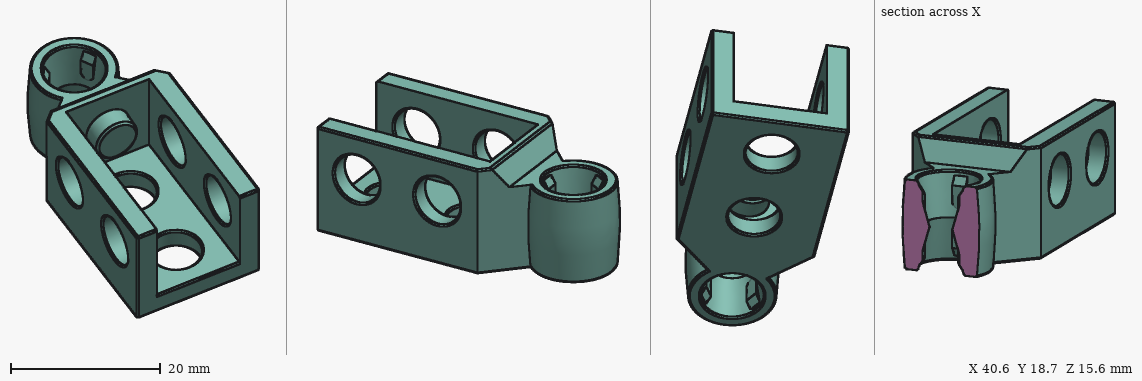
import cadquery as cq
import math

LENGTH = 40.6
MODULES_LONG = 13
MODULE = LENGTH / MODULES_LONG
WIDTH = 6 * MODULE
HEIGHT = 5 * MODULE
HALF_WIDTH = WIDTH / 2
EDGE_CHAMFER = 0.25

WALL = 3.05
FLOOR = 3.05
CAVITY_START = 15.48
CAVITY_WIDTH = WIDTH - 2 * WALL
SLOPE_START = 4 * MODULE
SLOPE_ANGLE = 60.0
HOLE_DIAMETER = 7.0
HOLE_HEIGHT = 3 * MODULE
HOLE_POSITIONS = (7 * MODULE, 11 * MODULE)

STUB_LENGTH = 2.8
STUB_BASE_RADIUS = 3.25
STUB_TIP_RADIUS = 3.13
STUB_CHAMFER = 0.32

BARREL_AXIS = 2 * MODULE
BARREL_HEIGHT = 4 * MODULE
BARREL_MIDDLE = BARREL_HEIGHT / 2
BARREL_RADIUS = 2 * MODULE
BARREL_END_RADIUS = 5.95
BORE_WAIST_RADIUS = 3.13
BORE_END_RADIUS = 4.22

PAD_COUNT = 3
PAD_WIDTH = 1.95
PAD_FACE_RADIUS = 3.35
PAD_ROOT_RADIUS = 4.05
PAD_MARGIN = 0.7
PAD_SLOPE_HEIGHT = 1.2
PAD_EMBED = 0.8


def make_body():
    """Block with a 45-degree nose pointing at the barrel axis and a sloped step behind the barrel."""
    shoulder = BARREL_AXIS + HALF_WIDTH
    outline = [
        (BARREL_AXIS, 0),
        (shoulder, -HALF_WIDTH),
        (LENGTH, -HALF_WIDTH),
        (LENGTH, HALF_WIDTH),
        (shoulder, HALF_WIDTH),
    ]
    block = cq.Workplane("XY").polyline(outline).close().extrude(HEIGHT)

    slope_run = (HEIGHT - BARREL_HEIGHT) / math.tan(math.radians(SLOPE_ANGLE))
    step = (
        cq.Workplane("XZ")
        .moveTo(0, BARREL_HEIGHT)
        .lineTo(SLOPE_START, BARREL_HEIGHT)
        .lineTo(SLOPE_START + slope_run, HEIGHT)
        .lineTo(0, HEIGHT)
        .close()
        .extrude(HALF_WIDTH, both=True)
    )
    body = block.cut(step)
    return body.edges(">Z or <Z or >X").chamfer(EDGE_CHAMFER)


def make_cavity():
    """Open channel between the two fork walls, with a chamfered sill at the open end."""
    profile = [
        (CAVITY_START, FLOOR),
        (LENGTH - EDGE_CHAMFER, FLOOR),
        (LENGTH, FLOOR - EDGE_CHAMFER),
        (LENGTH, HEIGHT),
        (CAVITY_START, HEIGHT),
    ]
    return cq.Workplane("XZ").polyline(profile).close().extrude(CAVITY_WIDTH / 2, both=True)


def make_through_hole(length):
    """Hole cutter along +Z from the origin, widened by a chamfer at both ends."""
    radius = HOLE_DIAMETER / 2
    mouth = radius + EDGE_CHAMFER
    profile = [
        (0, 0),
        (mouth, 0),
        (radius, EDGE_CHAMFER),
        (radius, length - EDGE_CHAMFER),
        (mouth, length),
        (0, length),
    ]
    return cq.Workplane("XZ").polyline(profile).close().revolve(360, (0, 0), (0, 1))


def make_holes():
    """Hole patterns through both walls and through the floor."""
    wall_hole = make_through_hole(WALL).rotate((0, 0, 0), (1, 0, 0), -90)
    floor_hole = make_through_hole(FLOOR)
    holes = cq.Workplane("XY")
    for x in HOLE_POSITIONS:
        holes = holes.add(floor_hole.translate((x, 0, 0)))
        for wall_start in (-HALF_WIDTH, HALF_WIDTH - WALL):
            holes = holes.add(wall_hole.translate((x, wall_start, HOLE_HEIGHT)))
    return holes.combine()


def make_stub():
    """Slightly tapered peg along X, on the axis of the wall holes."""
    stub = (
        cq.Workplane("XY")
        .lineTo(0, STUB_BASE_RADIUS)
        .lineTo(STUB_LENGTH - STUB_CHAMFER, STUB_TIP_RADIUS)
        .lineTo(STUB_LENGTH, STUB_TIP_RADIUS - STUB_CHAMFER)
        .lineTo(STUB_LENGTH, 0)
        .close()
        .revolve(360, (0, 0), (1, 0))
    )
    return stub.translate((CAVITY_START, 0, HOLE_HEIGHT))


def make_barrel():
    """Solid barrel with a bulging side and a chamfer at each end."""
    rim_radius = BARREL_END_RADIUS - EDGE_CHAMFER
    barrel = (
        cq.Workplane("XZ")
        .lineTo(rim_radius, 0)
        .lineTo(BARREL_END_RADIUS, EDGE_CHAMFER)
        .threePointArc((BARREL_RADIUS, BARREL_MIDDLE), (BARREL_END_RADIUS, BARREL_HEIGHT - EDGE_CHAMFER))
        .lineTo(rim_radius, BARREL_HEIGHT)
        .lineTo(0, BARREL_HEIGHT)
        .close()
        .revolve(360, (0, 0), (0, 1))
    )
    return barrel.translate((BARREL_AXIS, 0, 0))


def make_bore():
    """Bore cutter of two cones that meet at the waist, with a chamfered mouth at each end."""
    mouth_radius = BORE_END_RADIUS + EDGE_CHAMFER
    profile = [
        (0, 0),
        (mouth_radius, 0),
        (BORE_END_RADIUS, EDGE_CHAMFER),
        (BORE_WAIST_RADIUS, BARREL_MIDDLE),
        (BORE_END_RADIUS, BARREL_HEIGHT - EDGE_CHAMFER),
        (mouth_radius, BARREL_HEIGHT),
        (0, BARREL_HEIGHT),
    ]
    bore = cq.Workplane("XZ").polyline(profile).close().revolve(360, (0, 0), (0, 1))
    return bore.translate((BARREL_AXIS, 0, 0))


def make_pads():
    """Flat-faced pads with sloped ends, spread evenly around the bore."""
    outer = PAD_ROOT_RADIUS + PAD_EMBED
    top = BARREL_HEIGHT - PAD_MARGIN
    profile = [
        (outer, PAD_MARGIN),
        (PAD_ROOT_RADIUS, PAD_MARGIN),
        (PAD_FACE_RADIUS, PAD_MARGIN + PAD_SLOPE_HEIGHT),
        (PAD_FACE_RADIUS, top - PAD_SLOPE_HEIGHT),
        (PAD_ROOT_RADIUS, top),
        (outer, top),
    ]
    pad = cq.Workplane("XZ").polyline(profile).close().extrude(PAD_WIDTH / 2, both=True)
    pads = cq.Workplane("XY")
    for index in range(PAD_COUNT):
        turned = pad.rotate((0, 0, 0), (0, 0, 1), index * 360 / PAD_COUNT)
        pads = pads.add(turned.translate((BARREL_AXIS, 0, 0)))
    return pads.combine()


fork = make_body().cut(make_cavity()).cut(make_holes())
result = fork.union(make_stub()).union(make_barrel()).cut(make_bore()).union(make_pads())